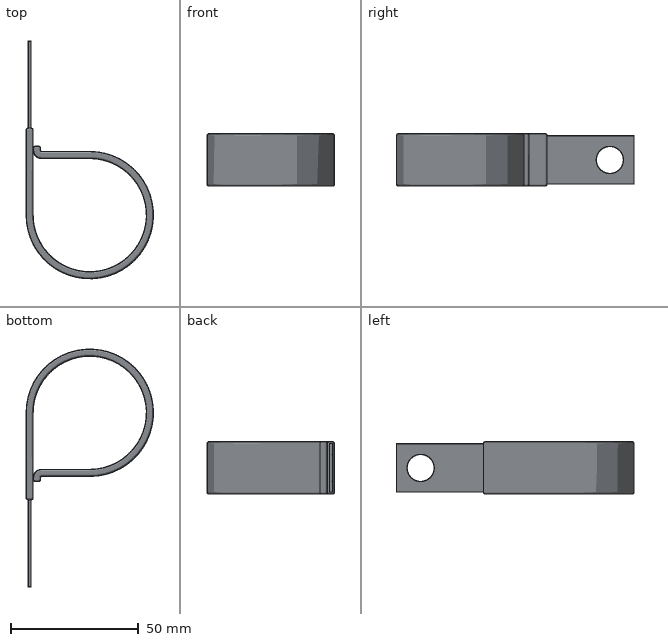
import cadquery as cq
import math

overall_length = 93.2
loop_radius = 25.0
sheath_width = 20.6
sheath_thickness = 2.8
edge_radius = 0.8
bare_length = 34.1
hole_diameter = 10.5
tail_gap = 0.1
tail_rise = 2.05
bend_inner_radius = 0.4

strip_width = sheath_width - 2 * edge_radius
strip_thickness = sheath_thickness - 2 * edge_radius
strip_end_y = overall_length - loop_radius
hole_y = strip_end_y - strip_width / 2

leg_end_y = strip_end_y - bare_length
leg_inner_x = -loop_radius + sheath_thickness
loop_inner_radius = loop_radius - sheath_thickness
tail_left_x = leg_inner_x + tail_gap
tail_right_x = tail_left_x + sheath_thickness
tail_end_y = loop_radius + tail_rise
bend_outer_radius = bend_inner_radius + sheath_thickness
bend_x = tail_left_x + bend_outer_radius
bend_y = loop_radius + bend_inner_radius
leg_mid_x = -loop_radius + sheath_thickness / 2
tail_mid_x = tail_left_x + sheath_thickness / 2


def diagonal_point(center_x, center_y, radius, x_sign, y_sign):
    """Point on a circle along one of its 45 degree diagonals."""
    offset = radius * math.sqrt(0.5)
    return (center_x + x_sign * offset, center_y + y_sign * offset)


def make_sheath():
    """Long leg, three-quarter loop, short arm and bent tail as one rounded band."""
    band = (
        cq.Workplane("XY", origin=(0, 0, -sheath_width / 2))
        .moveTo(-loop_radius, leg_end_y)
        .lineTo(-loop_radius, 0)
        .threePointArc(diagonal_point(0, 0, loop_radius, 1, -1), (0, loop_radius))
        .lineTo(bend_x, loop_radius)
        .threePointArc(diagonal_point(bend_x, bend_y, bend_inner_radius, -1, -1), (tail_right_x, bend_y))
        .lineTo(tail_right_x, tail_end_y)
        .lineTo(tail_left_x, tail_end_y)
        .lineTo(tail_left_x, bend_y)
        .threePointArc(diagonal_point(bend_x, bend_y, bend_outer_radius, -1, -1), (bend_x, loop_inner_radius))
        .lineTo(0, loop_inner_radius)
        .threePointArc(diagonal_point(0, 0, loop_inner_radius, 1, -1), (leg_inner_x, 0))
        .lineTo(leg_inner_x, leg_end_y)
        .close()
        .extrude(sheath_width)
    )
    rims = band.faces("|Z").edges()
    leg_end = band.faces(cq.NearestToPointSelector((leg_mid_x, leg_end_y, 0))).edges("|Z")
    tail_end = band.faces(cq.NearestToPointSelector((tail_mid_x, tail_end_y, 0))).edges("|Z")
    return rims.add(leg_end).add(tail_end).fillet(edge_radius)


def make_strip():
    """Flat mounting strip running into the sheath, with its screw hole."""
    strip = cq.Workplane("XY").box(strip_thickness, strip_end_y, strip_width, centered=(True, False, True))
    strip = strip.translate((leg_mid_x, 0, 0))
    hole = (
        cq.Workplane("YZ", origin=(leg_mid_x, hole_y, 0))
        .circle(hole_diameter / 2)
        .extrude(strip_thickness, both=True)
    )
    return strip.cut(hole)


result = make_sheath().union(make_strip())